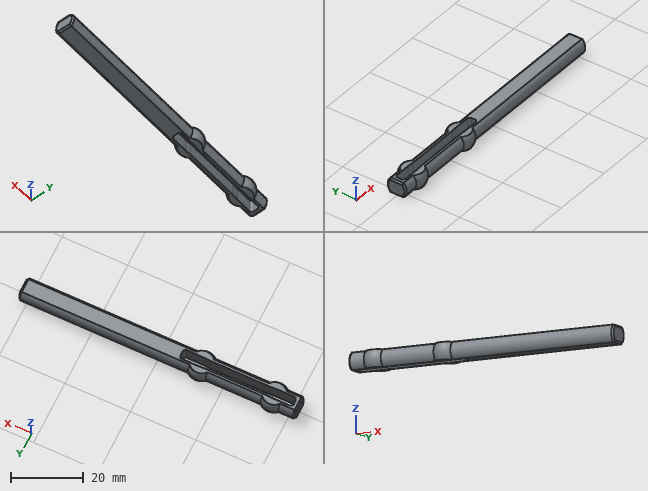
import cadquery as cq

length = 84.4
rod_diameter = 6.6
thickness = 5.0
end_chamfer = 0.5

ball_diameter = 8.5
ball_centers = (7.7, 29.9)

slot_start = 1.5
slot_end = 36.0
slot_end_width = 2.95
slot_middle_width = 2.7
slot_corner_radius = 0.85
front_taper_start = 7.5
front_taper_end = 9.6
rear_taper_start = 28.0
rear_taper_end = 29.9


def flat_slab():
    """Slab between the two flats, wide enough to hold the balls."""
    return cq.Workplane("XY").box(
        length, 2 * ball_diameter, thickness, centered=(False, True, True)
    )


def rod():
    """Flatted round bar lying along X, chamfered around both ends."""
    bar = cq.Workplane("YZ").circle(rod_diameter / 2).extrude(length)
    return bar.intersect(flat_slab()).faces("<X or >X").chamfer(end_chamfer)


def ball(center_x):
    """Flatted ball centred on the rod axis."""
    sphere = cq.Workplane("XY").sphere(ball_diameter / 2)
    return sphere.translate((center_x, 0, 0)).intersect(flat_slab())


def slot():
    """Cutter with round corners and tapers between the end and middle widths."""
    wide = slot_end_width / 2
    narrow = slot_middle_width / 2
    left_wall = [
        (slot_start, wide),
        (front_taper_start, wide),
        (front_taper_end, narrow),
        (rear_taper_start, narrow),
        (rear_taper_end, wide),
        (slot_end, wide),
    ]
    right_wall = [(x, -y) for x, y in reversed(left_wall)]
    return (
        cq.Workplane("XY")
        .polyline(left_wall + right_wall)
        .close()
        .extrude(thickness / 2, both=True)
        .edges("|Z and (<X or >X)")
        .fillet(slot_corner_radius)
    )


result = rod()
for ball_center in ball_centers:
    result = result.union(ball(ball_center))
result = result.cut(slot())